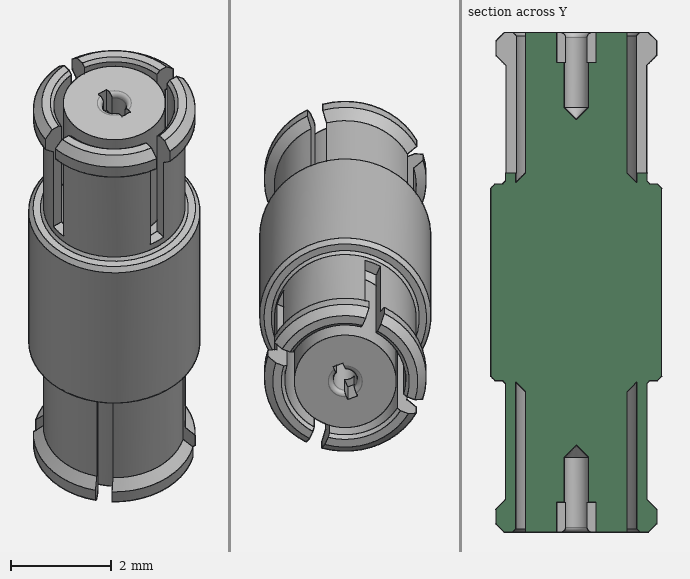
import cadquery as cq
import math

length = 9.9
half_length = length / 2
body_diameter = 3.4
body_radius = body_diameter / 2

body_end_depth = 3.0
body_chamfer = 0.09
neck_radius = 1.41
neck_cone = 0.06

lip_radius = 1.6
lip_chamfer = 0.17
lip_back_depth = 0.46
lip_back_cone = lip_radius - neck_radius
finger_bore_radius = 1.2
lip_inner_chamfer = 0.07

core_radius = 1.01
core_cone = finger_bore_radius - core_radius

finger_count = 4
finger_slot_width = 0.33
finger_slot_depth = 2.78
finger_twist = 45.0

socket_radius = 0.24
socket_depth = 1.485
socket_tip_depth = socket_radius
socket_rounding = 0.1
socket_slot_length = 0.77
socket_slot_width = 0.21
socket_slot_depth = 0.59


def make_shell():
    """Revolve the body with a neck, lip, finger bore and insulator core at both ends."""
    lip_back_z = half_length - lip_back_depth
    body_end_z = half_length - body_end_depth
    core_cone_top_z = half_length - finger_slot_depth
    lip_mouth_radius = finger_bore_radius + lip_inner_chamfer
    upper_profile = [
        (body_radius, body_end_z - body_chamfer),
        (body_radius - body_chamfer, body_end_z),
        (neck_radius + neck_cone, body_end_z),
        (neck_radius, body_end_z + neck_cone),
        (neck_radius, lip_back_z - lip_back_cone),
        (lip_radius, lip_back_z),
        (lip_radius, half_length - lip_chamfer),
        (lip_radius - lip_chamfer, half_length),
        (lip_mouth_radius, half_length),
        (finger_bore_radius, half_length - lip_inner_chamfer),
        (finger_bore_radius, core_cone_top_z - core_cone),
        (core_radius, core_cone_top_z),
        (core_radius, half_length),
        (0, half_length),
    ]
    lower_profile = [(radius, -z) for radius, z in reversed(upper_profile)]
    profile = lower_profile + upper_profile
    return cq.Workplane("XZ").polyline(profile).close().revolve(360, (0, 0), (0, 1))


def make_finger_slots():
    """Radial slots through the finger wall only, leaving the core whole."""
    slots = cq.Workplane("XY")
    for index in range(finger_count):
        slot = (
            cq.Workplane("XY", origin=(0, 0, half_length - finger_slot_depth))
            .rect(body_radius, finger_slot_width, centered=(False, True))
            .extrude(finger_slot_depth)
            .rotate((0, 0, 0), (0, 0, 1), index * 360 / finger_count)
        )
        slots = slots.add(slot)
    core_clearance = (
        cq.Workplane("XY", origin=(0, 0, half_length - finger_slot_depth))
        .circle(finger_bore_radius)
        .extrude(finger_slot_depth)
    )
    return slots.combine().cut(core_clearance)


def make_socket():
    """Round-mouthed blind hole with a conical tip, crossed by a shallow slot along X."""
    bottom_z = half_length - socket_depth
    rounding_center_x = socket_radius + socket_rounding
    rounding_center_z = half_length - socket_rounding
    rounding_offset = socket_rounding * math.sin(math.radians(45))
    hole = (
        cq.Workplane("XZ")
        .moveTo(0, bottom_z - socket_tip_depth)
        .lineTo(socket_radius, bottom_z)
        .lineTo(socket_radius, rounding_center_z)
        .threePointArc(
            (rounding_center_x - rounding_offset, rounding_center_z + rounding_offset),
            (rounding_center_x, half_length),
        )
        .lineTo(0, half_length)
        .close()
        .revolve(360, (0, 0), (0, 1))
    )
    slot = (
        cq.Workplane("XY", origin=(0, 0, half_length - socket_slot_depth))
        .rect(socket_slot_length, socket_slot_width)
        .extrude(socket_slot_depth)
    )
    return hole.union(slot)


shell = make_shell()
top_slots = make_finger_slots()
bottom_slots = top_slots.mirror("XY").rotate((0, 0, 0), (0, 0, 1), finger_twist)
top_socket = make_socket()
bottom_socket = top_socket.mirror("XY")
result = shell.cut(top_slots).cut(bottom_slots).cut(top_socket).cut(bottom_socket)